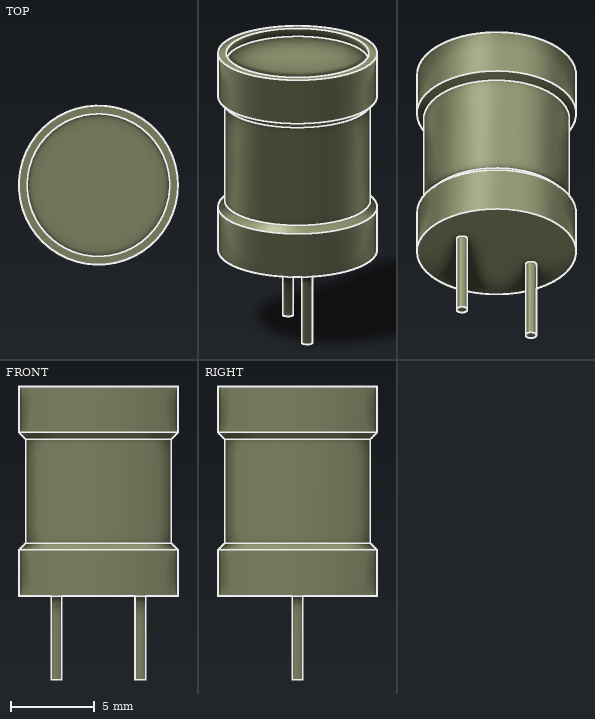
import cadquery as cq

flange_diameter = 9.5
waist_diameter = 8.7
body_height = 12.5
flange_height = 2.75
bevel_height = (flange_diameter - waist_diameter) / 2

recess_diameter = 8.5
recess_depth = 0.5

pin_diameter = 0.65
pin_length = 5.0
pin_pitch = 5.0

flange_radius = flange_diameter / 2
waist_radius = waist_diameter / 2
waist_bottom = flange_height + bevel_height
waist_top = body_height - waist_bottom


def make_body():
    """Revolve the half profile of the flanged drum; its base sits at Z = 0."""
    profile = (
        cq.Workplane("XZ")
        .moveTo(0, 0)
        .lineTo(flange_radius, 0)
        .lineTo(flange_radius, flange_height)
        .lineTo(waist_radius, waist_bottom)
        .lineTo(waist_radius, waist_top)
        .lineTo(flange_radius, body_height - flange_height)
        .lineTo(flange_radius, body_height)
        .lineTo(0, body_height)
        .close()
    )
    return profile.revolve(360, (0, 0, 0), (0, 1, 0))


def cut_top_recess(body):
    """Sink a round recess into the top face, leaving a thin rim."""
    return body.faces(">Z").workplane().hole(recess_diameter, recess_depth)


def make_pins():
    """Two straight leads below the base, spaced along X."""
    return (
        cq.Workplane("XY")
        .pushPoints([(-pin_pitch / 2, 0), (pin_pitch / 2, 0)])
        .circle(pin_diameter / 2)
        .extrude(-pin_length)
    )


result = cut_top_recess(make_body()).union(make_pins())